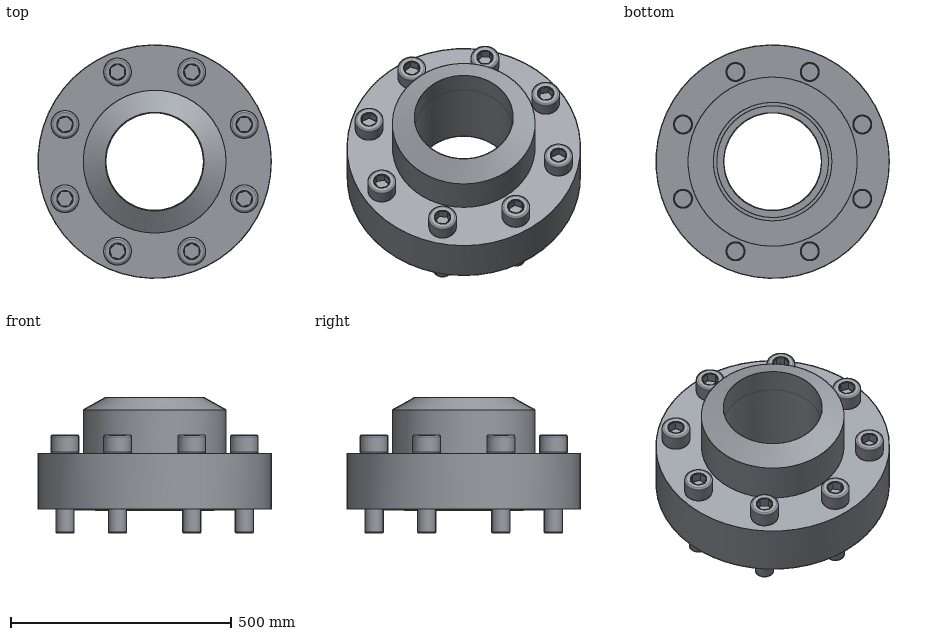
import cadquery as cq
import math

flange_diameter = 530.0
flange_thickness = 126.5
raised_face_diameter = 384.0
raised_face_height = 1.5
hub_diameter = 324.0
hub_height = 127.0
hub_cone_height = 28.0

bore_diameter = 224.0
bore_end_diameter = 221.5
straight_bore_depth = 61.0

ring_outer_diameter = 269.0
ring_inner_diameter = 253.5
ring_groove_depth = 5.5
ring_protrusion = 1.5

screw_count = 8
screw_circle_diameter = 440.5
clearance_hole_diameter = 43.0
shank_diameter = 42.0
shank_length = 180.0
shank_tip_chamfer = 1.5
head_diameter = 63.0
head_height = shank_diameter
head_fillet = 4.0
socket_sides = 6
socket_corner_diameter = 37.0
socket_depth = 24.0
socket_countersink_angle = 120

flange_top = raised_face_height + flange_thickness
hub_top = flange_top + hub_height
screw_pitch_angle = 360 / screw_count
first_screw_angle = screw_pitch_angle / 2


def cylinder(diameter, bottom, height):
    """A vertical cylinder on the Z axis."""
    return cq.Workplane("XY").workplane(offset=bottom).circle(diameter / 2).extrude(height)


def at_screws(body):
    """Copies of a body that stands on the Z axis, one at each screw place."""
    first = body.translate((screw_circle_diameter / 2, 0, 0)).rotate((0, 0, 0), (0, 0, 1), first_screw_angle)
    return [first.rotate((0, 0, 0), (0, 0, 1), i * screw_pitch_angle) for i in range(screw_count)]


def make_flange():
    profile = [
        (bore_end_diameter / 2, 0),
        (raised_face_diameter / 2, 0),
        (raised_face_diameter / 2, raised_face_height),
        (flange_diameter / 2, raised_face_height),
        (flange_diameter / 2, flange_top),
        (hub_diameter / 2, flange_top),
        (hub_diameter / 2, hub_top - hub_cone_height),
        (bore_diameter / 2, hub_top),
        (bore_diameter / 2, hub_top - straight_bore_depth),
    ]
    flange = cq.Workplane("XZ").polyline(profile).close().revolve(360, (0, 0, 0), (0, 1, 0))
    for hole in at_screws(cylinder(clearance_hole_diameter, 0, flange_top)):
        flange = flange.cut(hole)
    return flange.cut(make_ring())


def make_ring():
    ring_height = ring_protrusion + ring_groove_depth
    outside = cylinder(ring_outer_diameter, -ring_protrusion, ring_height)
    inside = cylinder(ring_inner_diameter, -ring_protrusion, ring_height)
    return outside.cut(inside)


def make_socket():
    """The hexagonal recess with its conical lead-in, cut down from the top of the head."""
    top = cq.Workplane("XY").workplane(offset=head_height)
    hexagon = top.polygon(socket_sides, socket_corner_diameter).extrude(-socket_depth)
    hexagon = hexagon.rotate((0, 0, 0), (0, 0, 1), -first_screw_angle)
    cone_radius = socket_corner_diameter / 2
    cone_depth = cone_radius / math.tan(math.radians(socket_countersink_angle / 2))
    lead_in = cq.Workplane("XY").add(
        cq.Solid.makeCone(cone_radius, 0, cone_depth, cq.Vector(0, 0, head_height), cq.Vector(0, 0, -1))
    )
    return hexagon.union(lead_in)


def make_screw():
    """A screw on the Z axis whose head rests on Z = 0."""
    head = cylinder(head_diameter, 0, head_height).edges("%CIRCLE").fillet(head_fillet)
    shank = cylinder(shank_diameter, -shank_length, shank_length).faces("<Z").chamfer(shank_tip_chamfer)
    return head.union(shank).cut(make_socket())


flange = make_flange()
ring = make_ring()
screws = at_screws(make_screw().translate((0, 0, flange_top)))

result = cq.Compound.makeCompound(
    [flange.val(), ring.val(), *[screw.val() for screw in screws]]
)